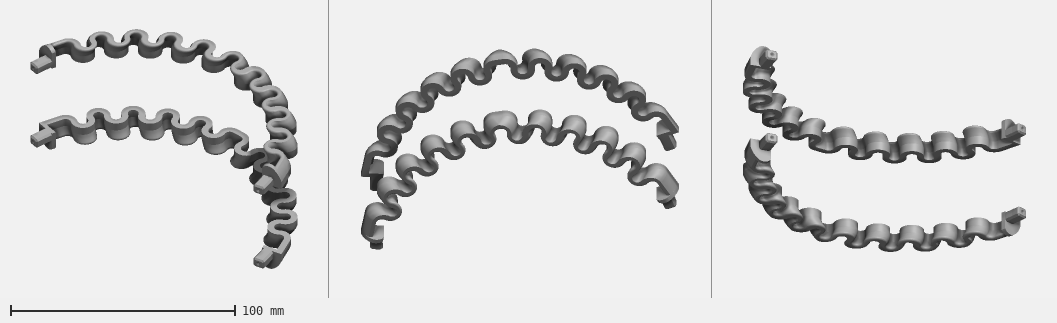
import cadquery as cq
import math


arch_center_y = -41.4
crest_circle_radius = 68.9
trough_circle_radius = 67.3
first_crest_angle = 1.8
half_pitch_angle = 6.47
bend_count = 11
band_thickness = 3.0

half_gap = 18.4
foot_height = 3.9
band_height = 8.6
lean_total = 3.0
lean_middle = 1.3
lean_middle_height = 2.7
lean_section_count = 5
inner_rim_radius = 0.9

half_span = 71.9
plate_front_y = -22.0
plate_tilt = 12.5
plate_width = 9.8
plate_thickness = 2.0
plate_height = 10.4
shoulder = (4.5, 9.9)
shoulder_middle = (2.2, 7.9)
crown_x = 7.0
plate_inner_height = 8.6
arm_overlap = 0.6
crest_overlap = 1.5

plug_width = 5.6
plug_height = 4.7
plug_length = 8.5
plug_bend_at = 4.2
plug_bend_angle = 3.0
plug_edge_chamfer = 0.9
plug_tip_chamfer = 0.7
dimple_diameter = 2.0
dimple_depth = 0.9


def polar(center, radius, angle):
    return (center[0] + radius * math.cos(angle), center[1] + radius * math.sin(angle))


def bend_center(index):
    radius = crest_circle_radius if index % 2 == 0 else trough_circle_radius
    angle = math.radians(90 - first_crest_angle - index * half_pitch_angle)
    return polar((0, arch_center_y), radius, angle)


def tangent_arm_angle():
    """Angle from -Y of the arm whose outer side touches the last bend and meets the plate corner."""
    center = bend_center(bend_count - 1)
    dx = half_span - center[0]
    dy = plate_front_y - center[1]
    return math.atan2(dx, -dy) - math.asin((bend_radius + half_thickness) / math.hypot(dx, dy))


half_thickness = band_thickness / 2
bend_radius = math.dist(bend_center(0), bend_center(1)) / 2
arm_angle = tangent_arm_angle()
arm_direction = cq.Vector(math.sin(arm_angle), -math.cos(arm_angle))
lean_direction = cq.Vector(arm_direction.y, -arm_direction.x)

tilt = math.radians(plate_tilt)
plate_plane = cq.Plane(
    origin=(half_span, plate_front_y, 0),
    xDir=(-math.cos(tilt), -math.sin(tilt), 0),
    normal=(0, 0, 1),
)


def bend_angles():
    """Start and end angle of each bend; neighbouring bends touch on the line between their centers."""
    starts = [math.pi / 2]
    ends = []
    for index in range(bend_count - 1):
        here = bend_center(index)
        following = bend_center(index + 1)
        end = math.atan2(following[1] - here[1], following[0] - here[0])
        ends.append(end)
        starts.append(end + math.pi)
    ends.append(arm_angle)
    return zip(starts, ends)


def arm_end(point):
    """Where a line along the arm from the point stops, just inside the plate."""
    depth = plate_thickness - arm_overlap
    distance = (-depth - plate_plane.toLocalCoords(point).y) / math.cos(arm_angle - tilt)
    return point + arm_direction * distance


def band_side(offset):
    """Edges of one side of the band, from the middle to the plate; offset > 0 is the outer side."""
    arcs = []
    for index, (start, end) in enumerate(bend_angles()):
        is_crest = index % 2 == 0
        radius = bend_radius + (offset if is_crest else -offset)
        turn = (end - start) % (2 * math.pi)
        if is_crest:
            turn -= 2 * math.pi
        points = [polar(bend_center(index), radius, start + turn * part) for part in (0, 0.5, 1)]
        arcs.append(cq.Edge.makeThreePointArc(*[cq.Vector(*point) for point in points]))
    crest_start = arcs[0].startPoint()
    arm_start = arcs[-1].endPoint()
    crest_flat = cq.Edge.makeLine(cq.Vector(-crest_overlap, crest_start.y), crest_start)
    arm = cq.Edge.makeLine(arm_start, arm_end(arm_start))
    return [crest_flat, *arcs, arm]


def band_outline():
    outer = band_side(half_thickness)
    inner = band_side(-half_thickness)
    start_cap = cq.Edge.makeLine(inner[0].startPoint(), outer[0].startPoint())
    end_cap = cq.Edge.makeLine(outer[-1].endPoint(), inner[-1].endPoint())
    return cq.Wire.assembleEdges([*outer, end_cap, *reversed(inner), start_cap])


def lean_offsets():
    """Shifts of the outline up the leaning part of the band, along an arc."""
    lean_curve = cq.Edge.makeThreePointArc(
        cq.Vector(0, 0, foot_height),
        cq.Vector(lean_middle, 0, foot_height + lean_middle_height),
        cq.Vector(lean_total, 0, band_height),
    )
    points = [lean_curve.positionAt(i / (lean_section_count - 1)) for i in range(lean_section_count)]
    return [lean_direction * p.x + cq.Vector(0, 0, p.z) for p in points]


def make_band_half():
    outline = band_outline()
    foot = cq.Solid.extrudeLinear(outline, [], cq.Vector(0, 0, foot_height))
    offsets = lean_offsets()
    upper = cq.Solid.makeLoft([outline.translate(offset) for offset in offsets])
    match_tolerance = 0.07
    rim_points = [edge.positionAt(0.5) + offsets[-1] for edge in band_side(-half_thickness)]
    rim = []
    for edge in upper.Edges():
        middle = edge.positionAt(0.5)
        if any((middle - p).Length < match_tolerance for p in rim_points):
            rim.append(edge)
    upper = upper.fillet(inner_rim_radius, rim)
    band = cq.Workplane(foot).union(cq.Workplane(upper))
    keep = cq.Workplane().box(half_span, 4 * half_span, 2 * band_height, centered=(False, True, True))
    return band.intersect(keep)


def make_plate():
    outline = (
        cq.Workplane(cq.Plane(plate_plane.origin, plate_plane.xDir, -plate_plane.yDir))
        .lineTo(0, foot_height)
        .threePointArc(shoulder_middle, shoulder)
        .threePointArc((crown_x, plate_height), (plate_width, plate_inner_height))
        .lineTo(plate_width, 0)
        .close()
        .val()
    )
    return cq.Workplane(cq.Solid.extrudeLinear(outline, [], arm_direction * -plate_thickness))


def make_plug():
    """Slightly bent plug, flush with the inner edge of the plate, with a conical dimple in its tip."""
    inner = plate_width
    outer = inner - plug_width
    root = -plate_thickness / 2
    shift = (plug_length - plug_bend_at) * math.tan(math.radians(plug_bend_angle))
    plug = (
        cq.Workplane()
        .moveTo(outer, root)
        .lineTo(outer, plug_bend_at)
        .lineTo(outer + shift, plug_length)
        .lineTo(inner + shift, plug_length)
        .lineTo(inner, plug_bend_at)
        .lineTo(inner, root)
        .close()
        .extrude(plug_height)
    )
    long_edges = plug.faces("<Z or >Z").edges("not |X")
    plug = plug.newObject(long_edges.vals()).chamfer(plug_edge_chamfer)
    plug = plug.faces(">Y").chamfer(plug_tip_chamfer)
    dimple = cq.Solid.makeCone(
        dimple_diameter / 2, 0, dimple_depth,
        pnt=cq.Vector((inner + outer) / 2 + shift, plug_length, plug_height / 2),
        dir=cq.Vector(0, -1, 0),
    )
    plug = plug.cut(cq.Workplane(dimple))
    return cq.Workplane(plug.val().moved(cq.Location(plate_plane)))


half = make_band_half().union(make_plate()).union(make_plug())
band = half.union(half.mirror("YZ"))
upper_band = band.translate((0, 0, half_gap))
lower_band = upper_band.mirror("XY")
result = cq.Compound.makeCompound([upper_band.val(), lower_band.val()])